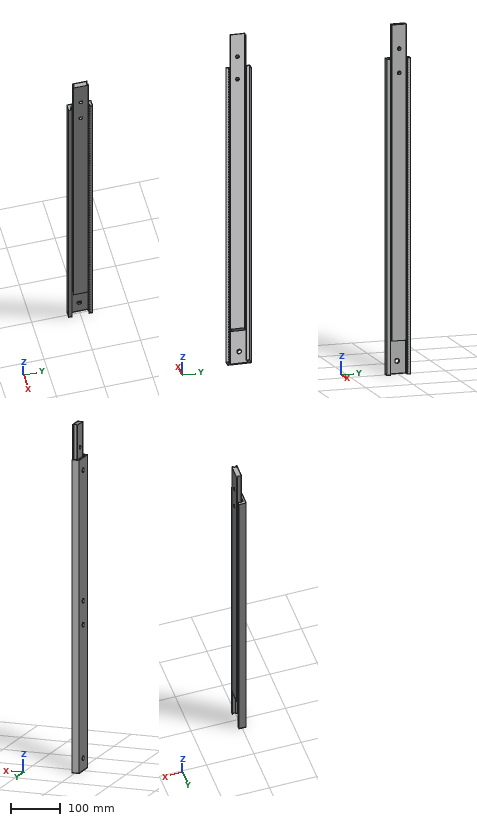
import cadquery as cq

total_length = 721.0
total_depth = 17.0
extension = 71.0
member_length = total_length - extension

housing_width = 50.0
housing_depth = 15.0
floor_thickness = 4.0
channel_width = 35.0
housing_hole_diameter = 9.5
housing_end_margin = 26.0

slider_width = 30.0
slider_back = 6.5
slider_depth = total_depth - slider_back
slider_hole_diameter = 7.0

groove_center_x = 11.5
groove_width = 6.5
groove_depth = 2.0

hole_pitch = 50.0
lower_middle_hole_z = 303.0

housing_hole_heights = [
    housing_end_margin,
    lower_middle_hole_z,
    lower_middle_hole_z + hole_pitch,
    member_length - housing_end_margin,
]
slider_hole_heights = [total_length - hole_pitch, total_length - 2 * hole_pitch]


def cross_holes(diameter, heights):
    """Round cutters along X on the centre plane, longer than the assembly is deep."""
    return (
        cq.Workplane("YZ")
        .pushPoints([(0, z) for z in heights])
        .circle(diameter / 2)
        .extrude(total_depth)
    )


def groove_half(wall_y, bottom_y, outline):
    """Continue an outline across one groove in the +X direction."""
    return outline.lineTo(groove_center_x - groove_width / 2, wall_y).threePointArc(
        (groove_center_x, bottom_y), (groove_center_x + groove_width / 2, wall_y)
    )


def make_housing():
    outer_y = housing_width / 2
    wall_y = channel_width / 2
    half = cq.Workplane("XY").moveTo(0, 0).lineTo(floor_thickness, 0).lineTo(floor_thickness, wall_y)
    half = groove_half(wall_y, wall_y + groove_depth, half)
    half = half.lineTo(housing_depth, wall_y).lineTo(housing_depth, outer_y).lineTo(0, outer_y)
    half = half.close().extrude(member_length)
    channel = half.union(half.mirror("XZ"))
    return channel.cut(cross_holes(housing_hole_diameter, housing_hole_heights))


def make_slider():
    wall_y = slider_width / 2
    half = cq.Workplane("XY").workplane(offset=extension).moveTo(slider_back, 0).lineTo(slider_back, wall_y)
    half = groove_half(wall_y, wall_y - groove_depth, half)
    half = half.lineTo(total_depth, wall_y).lineTo(total_depth, 0)
    half = half.close().extrude(member_length)
    bar = half.union(half.mirror("XZ"))
    return bar.cut(cross_holes(slider_hole_diameter, slider_hole_heights))


housing = make_housing()
slider = make_slider()
result = cq.Compound.makeCompound([housing.val(), slider.val()])